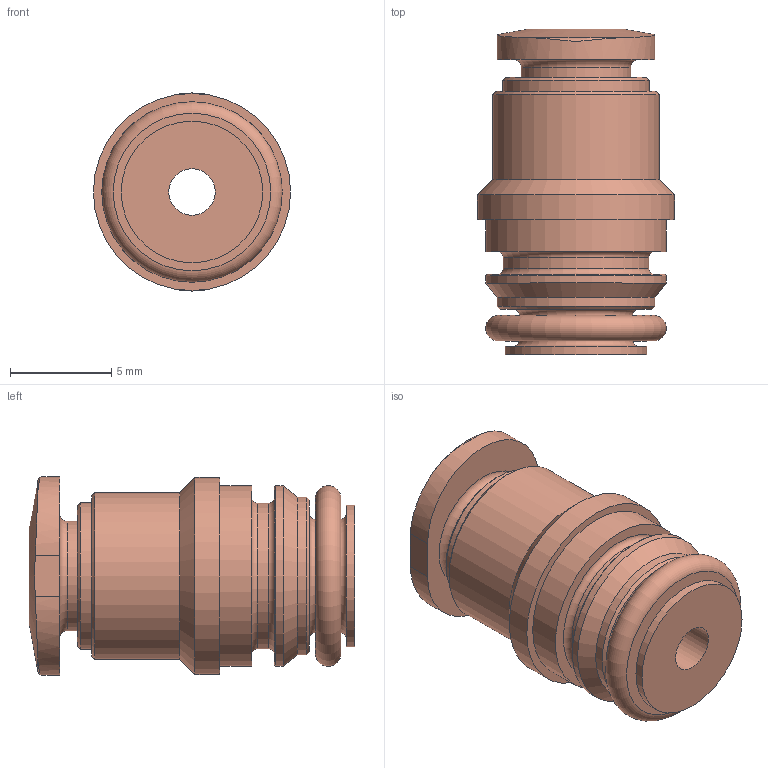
import cadquery as cq
import math


BORE_DIA = 2.3
TIP_FLANGE_DIA = 7.0
SEAL_GROOVE_DIA = 5.6
SEAL_RING_DIA = 8.93
SEAL_SHOULDER_DIA = 7.8
BARB_DIA = 8.93
RELIEF_DIA = 7.2
COLLAR_DIA = 9.75
SLEEVE_DIA = 8.25
SLEEVE_LIP_DIA = 7.25
NECK_DIA = 5.4
CAP_FACE_DIA = 4.8

TIP_FLANGE_END = 0.42
SEAL_GROOVE_END = 2.24
SEAL_SHOULDER_END = 2.84
BARB_CONE_END = 3.54
BARB_END = 3.97
RELIEF_END = 5.1
SHANK_END = 6.68
COLLAR_CONE_END = 8.66
SLEEVE_END = 13.02
SLEEVE_LIP_END = 13.72
NECK_END = 14.6
TOTAL_LENGTH = 16.1

SEAL_RING_WIDTH = 1.26
SEAL_RING_CENTRE = 1.31

CAP_WIDTH = 7.8
CAP_HEIGHT = 9.8
CAP_CONE_DEPTH = 0.45
CAP_RIM_RADIUS = 0.2

EDGE_CHAMFER = 0.15
BARB_CHAMFER = 0.06
GROOVE_FILLET = 0.3
NECK_FILLET = 0.4


def section(dia, start, end):
    """Plain cylinder on the Y axis between two stations."""
    return cq.Workplane("XZ", origin=(0, start, 0)).circle(dia / 2).extrude(start - end)


def cone(start_dia, end_dia, start, end):
    """Conical frustum on the Y axis between two stations."""
    return (
        cq.Workplane("XY")
        .moveTo(0, start)
        .lineTo(start_dia / 2, start)
        .lineTo(end_dia / 2, end)
        .lineTo(0, end)
        .close()
        .revolve(360, (0, 0, 0), (0, 1, 0))
    )


def root_fillet(dia, wall, direction, radius):
    """Concave ring joining a cylinder to the wall at one of its ends.

    The direction is +1 when the cylinder runs towards +Y from the wall and -1 otherwise.
    """
    root = dia / 2
    mid = radius * (1 - math.sqrt(0.5))
    return (
        cq.Workplane("XY")
        .moveTo(0, wall)
        .lineTo(root + radius, wall)
        .threePointArc((root + mid, wall + direction * mid), (root, wall + direction * radius))
        .lineTo(0, wall + direction * radius)
        .close()
        .revolve(360, (0, 0, 0), (0, 1, 0))
    )


def make_seal_end():
    """Tip flange, seal groove, seal shoulder and the barb behind it."""
    shoulder = section(SEAL_SHOULDER_DIA, SEAL_GROOVE_END, SEAL_SHOULDER_END)
    barb = section(BARB_DIA, BARB_CONE_END, BARB_END)
    return (
        section(TIP_FLANGE_DIA, 0, TIP_FLANGE_END)
        .union(section(SEAL_GROOVE_DIA, TIP_FLANGE_END, SEAL_GROOVE_END))
        .union(root_fillet(SEAL_GROOVE_DIA, TIP_FLANGE_END, 1, GROOVE_FILLET))
        .union(root_fillet(SEAL_GROOVE_DIA, SEAL_GROOVE_END, -1, GROOVE_FILLET))
        .union(shoulder.faces("<Y").edges().chamfer(EDGE_CHAMFER))
        .union(cone(SEAL_SHOULDER_DIA, BARB_DIA, SEAL_SHOULDER_END, BARB_CONE_END))
        .union(barb.faces(">Y").edges().chamfer(BARB_CHAMFER))
    )


def make_seal_ring():
    """Seal ring seated on the groove floor, its flanks as high as the seal shoulder."""
    half_width = SEAL_RING_WIDTH / 2
    root = SEAL_GROOVE_DIA / 2
    rim = SEAL_RING_DIA / 2
    flank_top = SEAL_SHOULDER_DIA / 2
    front = SEAL_RING_CENTRE - half_width
    back = SEAL_RING_CENTRE + half_width
    return (
        cq.Workplane("XY")
        .moveTo(root, front)
        .lineTo(flank_top, front)
        .threePointArc((rim, SEAL_RING_CENTRE), (flank_top, back))
        .lineTo(root, back)
        .close()
        .revolve(360, (0, 0, 0), (0, 1, 0))
    )


def make_body():
    """Relief groove, shank, coned collar, sleeve and sleeve lip."""
    collar_cone_start = COLLAR_CONE_END - (COLLAR_DIA - SLEEVE_DIA) / 2
    sleeve = section(SLEEVE_DIA, COLLAR_CONE_END, SLEEVE_END)
    lip = section(SLEEVE_LIP_DIA, SLEEVE_END, SLEEVE_LIP_END)
    return (
        section(RELIEF_DIA, BARB_END, RELIEF_END)
        .union(root_fillet(RELIEF_DIA, BARB_END, 1, GROOVE_FILLET))
        .union(root_fillet(RELIEF_DIA, RELIEF_END, -1, GROOVE_FILLET))
        .union(section(BARB_DIA, RELIEF_END, SHANK_END))
        .union(section(COLLAR_DIA, SHANK_END, collar_cone_start))
        .union(cone(COLLAR_DIA, SLEEVE_DIA, collar_cone_start, COLLAR_CONE_END))
        .union(sleeve.faces(">Y").edges().chamfer(EDGE_CHAMFER))
        .union(lip.faces(">Y").edges().chamfer(EDGE_CHAMFER))
    )


def make_cap():
    """Neck and oval cap, the cap cut from a round disc with a shallow coned end."""
    cone_start = TOTAL_LENGTH - CAP_CONE_DEPTH
    disc = section(CAP_HEIGHT, NECK_END, cone_start).union(
        cone(CAP_HEIGHT, CAP_FACE_DIA, cone_start, TOTAL_LENGTH)
    )
    rim = cq.selectors.BoxSelector(
        (-CAP_HEIGHT, cone_start - CAP_RIM_RADIUS, -CAP_HEIGHT),
        (CAP_HEIGHT, cone_start + CAP_RIM_RADIUS, CAP_HEIGHT),
    )
    disc = disc.edges(rim).fillet(CAP_RIM_RADIUS)
    oval = (
        cq.Workplane("XZ", origin=(0, NECK_END, 0))
        .slot2D(CAP_HEIGHT, CAP_WIDTH, 90)
        .extrude(NECK_END - TOTAL_LENGTH)
    )
    return (
        disc.intersect(oval)
        .union(section(NECK_DIA, SLEEVE_LIP_END, NECK_END))
        .union(root_fillet(NECK_DIA, NECK_END, -1, NECK_FILLET))
    )


bore = section(BORE_DIA, 0, TOTAL_LENGTH)

result = (
    make_seal_end()
    .union(make_seal_ring())
    .union(make_body())
    .union(make_cap())
    .cut(bore)
)